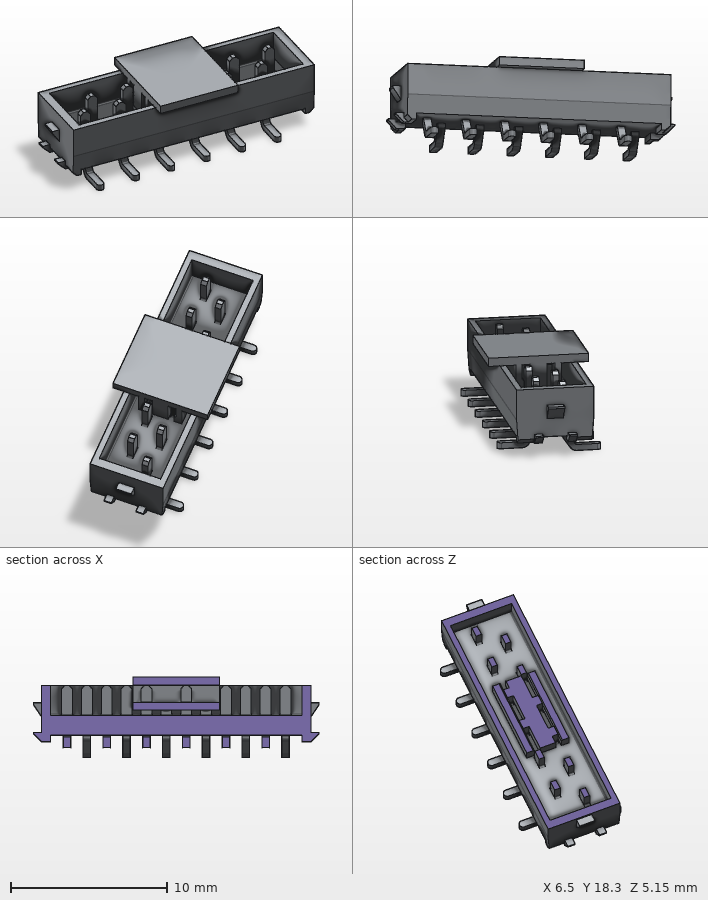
import cadquery as cq
import math

TOTAL_LENGTH = 18.27
TOTAL_WIDTH = 6.5
TOTAL_HEIGHT = 5.15

PLATE_THICKNESS = 0.55
HOUSING_LENGTH = 17.25
HOUSING_WIDTH = 5.02
HOUSING_BASE_WIDTH = 4.8
HOUSING_TOP = TOTAL_HEIGHT - PLATE_THICKNESS
HOUSING_BASE = 1.0
TAPER_LINE = 2.61
HOUSING_END = HOUSING_LENGTH / 2
MERGE = 0.18

UNDERSIDE = 1.4
FOOT_LENGTH = 0.6
FOOT_CHAMFER = 0.3

SIDE_WALL = 0.4
END_WALL = 0.6
CAVITY_DEPTH = 1.9
CAVITY_FLOOR = HOUSING_TOP - CAVITY_DEPTH
ROOT_RADIUS = 0.11

HOOK_REACH = TOTAL_LENGTH / 2 - HOUSING_END
UPPER_HOOK_WIDTH = 1.06
UPPER_HOOK_TOP = 3.5
UPPER_HOOK_NOSE = 0.13
UPPER_HOOK_BASE = TAPER_LINE
LOWER_HOOK_WIDTH = 0.51
LOWER_HOOK_OFFSET = 1.1
LOWER_HOOK_TOP = 1.6
LOWER_HOOK_NOSE = 0.1
FOOT_GAP = 2 * LOWER_HOOK_OFFSET - LOWER_HOOK_WIDTH

CONTACTS_PER_ROW = 6
PITCH = 1.27
ROW_OFFSET = 0.75
METAL_THICKNESS = 0.4
PIN_WIDTH = 0.7
PIN_TIP_WIDTH = 0.27
PIN_TIP_CHAMFER = 0.22
PIN_TOP = HOUSING_TOP

LEAD_WIDTH = 0.5
LEAD_ANGLE = math.radians(55)
UPPER_BEND_RADIUS = 0.1
LOWER_BEND_RADIUS = 0.15
UPPER_BEND_HEIGHT = 1.35

PLATE_LENGTH = 5.55
RIB_BASE = 3.03
CENTRE_RIB_WIDTH = 1.1
SIDE_RIB_INNER = 1.08
SIDE_RIB_OUTER = 1.48
BARB_REACH = 0.15
BARB_HEIGHT = 0.5


def both_ends(solid):
    """Return a solid together with its mirror image at the opposite Y end."""
    return solid.union(solid.mirror("XZ"))


def both_sides(solid):
    """Return a solid together with its mirror image on the opposite X side."""
    return solid.union(solid.mirror("YZ"))


def box_between(x_size, y_size, z_low, z_high):
    """Box centred on the Z axis between two heights."""
    base = cq.Workplane("XY").workplane(offset=z_low)
    return base.rect(x_size, y_size).extrude(z_high - z_low)


def extrude_along_x(points, width, x_centre=0.0):
    """Extrude a closed YZ outline symmetrically about an X position."""
    profile = cq.Workplane("YZ", origin=(x_centre, 0, 0)).polyline(points).close()
    return profile.extrude(width / 2, both=True)


def make_housing():
    """Tapered box with corner feet, hollowed by a cavity with rounded side edges at its floor."""
    half_top = HOUSING_WIDTH / 2
    half_base = HOUSING_BASE_WIDTH / 2
    housing = (
        cq.Workplane("XZ")
        .polyline([
            (-half_base, HOUSING_BASE), (half_base, HOUSING_BASE),
            (half_top, TAPER_LINE), (half_top, HOUSING_TOP),
            (-half_top, HOUSING_TOP), (-half_top, TAPER_LINE),
        ])
        .close()
        .extrude(HOUSING_LENGTH / 2, both=True)
        .faces("<Z").edges("|X").chamfer(FOOT_CHAMFER)
    )
    recess_length = HOUSING_LENGTH - 2 * FOOT_LENGTH
    housing = housing.cut(box_between(HOUSING_WIDTH, recess_length, HOUSING_BASE, UNDERSIDE))
    housing = housing.cut(box_between(FOOT_GAP, HOUSING_LENGTH, HOUSING_BASE, UNDERSIDE))

    cavity = box_between(
        HOUSING_WIDTH - 2 * SIDE_WALL, HOUSING_LENGTH - 2 * END_WALL, CAVITY_FLOOR, HOUSING_TOP
    )
    return housing.cut(cavity.faces("<Z").edges("|Y").fillet(ROOT_RADIUS))


def make_hooks():
    """One wide hook high on each end face and two narrow ones at the feet."""
    tip = HOUSING_END + HOOK_REACH
    root = HOUSING_END - MERGE
    upper = extrude_along_x(
        [
            (root, UPPER_HOOK_TOP), (tip, UPPER_HOOK_TOP), (tip, UPPER_HOOK_TOP - UPPER_HOOK_NOSE),
            (HOUSING_END, UPPER_HOOK_BASE), (root, UPPER_HOOK_BASE),
        ],
        UPPER_HOOK_WIDTH,
    )
    lower_root = HOUSING_END - FOOT_LENGTH
    lower = extrude_along_x(
        [
            (lower_root, LOWER_HOOK_TOP), (tip, LOWER_HOOK_TOP), (tip, LOWER_HOOK_TOP - LOWER_HOOK_NOSE),
            (HOUSING_END, HOUSING_BASE), (lower_root, HOUSING_BASE),
        ],
        LOWER_HOOK_WIDTH,
        LOWER_HOOK_OFFSET,
    )
    return both_ends(upper.union(both_sides(lower)))


def make_pin():
    """Upright blade on the +X row with a chamfered tip and flared root."""
    half = PIN_WIDTH / 2
    half_tip = PIN_TIP_WIDTH / 2
    flare = half + ROOT_RADIUS
    flare_top = CAVITY_FLOOR + ROOT_RADIUS
    shoulder = PIN_TOP - PIN_TIP_CHAMFER
    buried = CAVITY_FLOOR - MERGE
    return (
        cq.Workplane("YZ", origin=(ROW_OFFSET, 0, 0))
        .moveTo(-flare, buried)
        .lineTo(flare, buried)
        .lineTo(flare, CAVITY_FLOOR)
        .radiusArc((half, flare_top), ROOT_RADIUS)
        .lineTo(half, shoulder)
        .lineTo(half_tip, PIN_TOP)
        .lineTo(-half_tip, PIN_TOP)
        .lineTo(-half, shoulder)
        .lineTo(-half, flare_top)
        .radiusArc((-flare, CAVITY_FLOOR), ROOT_RADIUS)
        .close()
        .extrude(METAL_THICKNESS / 2, both=True)
    )


def polar_point(centre, radius, angle):
    """Point at an angle from +X on a circle in the XZ plane."""
    return (centre[0] + radius * math.cos(angle), centre[1] + radius * math.sin(angle))


def make_lead():
    """Bent strip of the +X row: riser, slanted leg and flat foot with a round end."""
    upper_inner = UPPER_BEND_RADIUS
    upper_outer = UPPER_BEND_RADIUS + METAL_THICKNESS
    lower_inner = LOWER_BEND_RADIUS
    lower_outer = LOWER_BEND_RADIUS + METAL_THICKNESS
    inner_face = ROW_OFFSET - METAL_THICKNESS / 2
    outer_face = ROW_OFFSET + METAL_THICKNESS / 2
    tip = TOTAL_WIDTH / 2
    riser_top = UNDERSIDE + MERGE

    upper_centre = (outer_face + upper_inner, UPPER_BEND_HEIGHT)
    centre_drop = UPPER_BEND_HEIGHT - lower_outer
    radius_step = lower_outer - upper_outer
    centre_run = (centre_drop * math.cos(LEAD_ANGLE) + radius_step) / math.sin(LEAD_ANGLE)
    lower_centre = (upper_centre[0] + centre_run, lower_outer)

    riser_angle = math.pi
    foot_angle = 1.5 * math.pi
    leg_angle = foot_angle - LEAD_ANGLE
    upper_middle = (riser_angle + leg_angle) / 2
    lower_middle = (leg_angle + foot_angle) / 2

    strip = (
        cq.Workplane("XZ")
        .moveTo(inner_face, riser_top)
        .lineTo(inner_face, UPPER_BEND_HEIGHT)
        .threePointArc(
            polar_point(upper_centre, upper_outer, upper_middle),
            polar_point(upper_centre, upper_outer, leg_angle),
        )
        .lineTo(*polar_point(lower_centre, lower_outer, leg_angle))
        .threePointArc(
            polar_point(lower_centre, lower_outer, lower_middle),
            polar_point(lower_centre, lower_outer, foot_angle),
        )
        .lineTo(tip, 0)
        .lineTo(tip, METAL_THICKNESS)
        .lineTo(lower_centre[0], METAL_THICKNESS)
        .threePointArc(
            polar_point(lower_centre, lower_inner, lower_middle),
            polar_point(lower_centre, lower_inner, leg_angle),
        )
        .lineTo(*polar_point(upper_centre, upper_inner, leg_angle))
        .threePointArc(
            polar_point(upper_centre, upper_inner, upper_middle),
            polar_point(upper_centre, upper_inner, riser_angle),
        )
        .lineTo(outer_face, riser_top)
        .close()
        .extrude(LEAD_WIDTH / 2, both=True)
    )
    plan = cq.Workplane("XY").slot2D(2 * tip, LEAD_WIDTH).extrude(TOTAL_HEIGHT)
    return strip.intersect(plan)


def make_contacts():
    """Both rows; the -X row is the +X row turned half a turn about Z."""
    contact = make_pin().union(make_lead())
    row_start = -(CONTACTS_PER_ROW - 0.5) * PITCH
    row = cq.Workplane("XY")
    for index in range(CONTACTS_PER_ROW):
        row = row.add(contact.translate((0, row_start + 2 * PITCH * index, 0)))
    row = row.combine()
    return row.union(row.rotate((0, 0, 0), (0, 0, 1), 180))


def make_cap():
    """Flat plate on the rim with a centre rib and a barbed rib beside each row."""
    plate = box_between(TOTAL_WIDTH, PLATE_LENGTH, HOUSING_TOP, TOTAL_HEIGHT)
    centre_rib = box_between(CENTRE_RIB_WIDTH, PLATE_LENGTH, RIB_BASE, HOUSING_TOP)
    barb_edge = SIDE_RIB_INNER - BARB_REACH
    barb_top = RIB_BASE + BARB_HEIGHT
    side_rib = (
        cq.Workplane("XZ")
        .polyline([
            (barb_edge, RIB_BASE), (SIDE_RIB_OUTER, RIB_BASE),
            (SIDE_RIB_OUTER, HOUSING_TOP), (SIDE_RIB_INNER, HOUSING_TOP),
            (SIDE_RIB_INNER, barb_top + BARB_REACH), (barb_edge, barb_top),
        ])
        .close()
        .extrude(PLATE_LENGTH / 2, both=True)
    )
    return plate.union(centre_rib).union(both_sides(side_rib))


result = make_housing().union(make_hooks()).union(make_contacts()).union(make_cap())